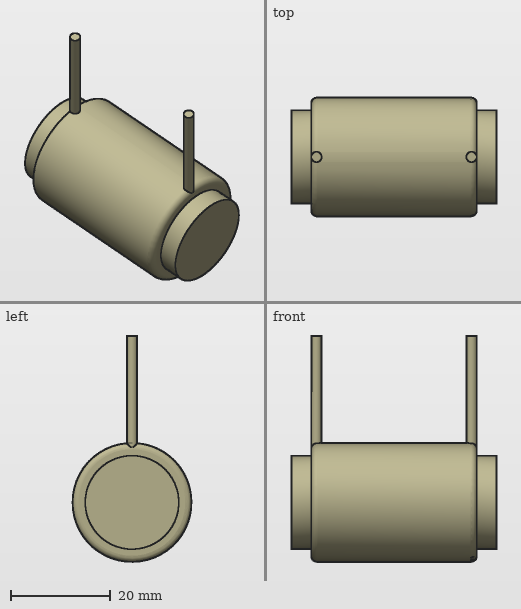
import cadquery as cq

total_height = 45.35
core_length = 41.15
core_diameter = 18.75
body_length = 33.3
body_diameter = 23.9
edge_radius = 1.25
lead_diameter = 2.1
lead_inset = 0.05

lead_offset = (body_length - lead_diameter) / 2 - lead_inset
lead_top = total_height - body_diameter / 2


def cylinder_along_x(diameter, length):
    """Cylinder on the X axis, centred on the origin."""
    start = cq.Workplane("YZ", origin=(-length / 2, 0, 0))
    return start.circle(diameter / 2).extrude(length)


def lead(x):
    """Vertical round lead rising from the core axis."""
    return cq.Workplane("XY").center(x, 0).circle(lead_diameter / 2).extrude(lead_top)


body = cylinder_along_x(body_diameter, body_length).edges("%CIRCLE").fillet(edge_radius)
core = cylinder_along_x(core_diameter, core_length)
result = body.union(core)

for side in (-1, 1):
    result = result.union(lead(side * lead_offset))